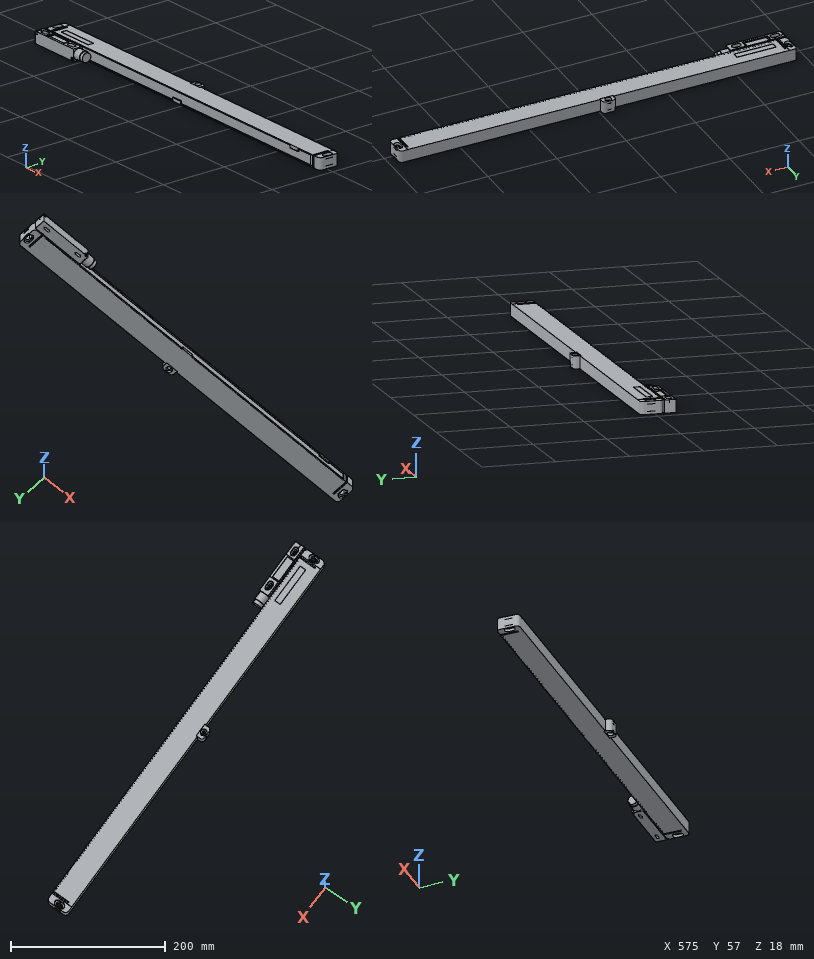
import cadquery as cq

length = 575.0
height = 18.0
total_depth = 57.0
mid_height = height / 2

housing_front = 16.5
housing_back = 48.5
end_radius = 5.0

cap_length = 11.5
cap_step = 0.1
groove_offset = 13.0
groove_width = 2.0
groove_depth = 0.5
groove_back = 41.5

lip_height = 1.45
face_inset = 19.0
face_depth = 2.0
pad_width = 17.0
pad_height = 5.0
lower_pad_x = 275.0
upper_pad_x = 521.0

end_hole_x = 5.0
end_pocket_length = 14.5
end_pocket_width = 8.5
end_pocket_depth = 4.0
end_hole_y = 33.5
keyhole_slot_width = 4.0
keyhole_slot_length = 9.0
keyhole_round_diameter = 6.0
keyhole_round_y = 31.5

label_start = 23.5
label_length = 56.5
label_width = 8.5
label_y = 29.0
label_depth = 0.3

tab_x = 275.5
tab_width = 19.0
tab_front = 46.5
tab_step = 0.1
tab_radius = 4.5
tab_hole_y = 52.0
tab_hole_diameter = 4.5
tab_bore_diameter = 8.5
tab_bore_depth = 4.0

head_length = 80.0
head_depth = 15.5
ledge_width = 2.0
ledge_depth = 0.3

panel_start = 21.0
panel_end = 57.5
panel_step = 2.0
panel_depth = 0.1
panel_pocket_depth = 2.0
panel_front = 3.5

head_slot_centers = (12.0, 68.0)
head_slot_y = 7.0
head_slot_length = 9.0
head_slot_width = 3.0
head_bore_length = 13.0
head_bore_width = 7.0
head_bore_depth = 6.0

upper_hole_x = 2.5
upper_hole_z = 15.5
upper_hole_diameter = 4.0
front_hole_depth = 8.5
lower_hole_x = 77.0
lower_hole_z = 3.0
lower_hole_diameter = 2.5
lower_bore_diameter = 4.5
lower_bore_depth = 2.0

connector_y = 8.35
collar_diameter = 15.5
collar_length = 12.0
sleeve_diameter = 14.0
sleeve_length = 5.0


def block(x0, x1, y0, y1, z0, z1):
    """Box between two opposite corners."""
    return cq.Workplane("XY").box(x1 - x0, y1 - y0, z1 - z0, centered=False).translate((x0, y0, z0))


def upright_slot(x, y, slot_length, width, z0, z1, angle=0):
    """Round-ended prism standing along Z; its long side follows X turned by the angle."""
    return cq.Workplane("XY", origin=(x, y, z0)).slot2D(slot_length, width, angle).extrude(z1 - z0)


def upright_cylinder(x, y, diameter, z0, z1):
    return cq.Workplane("XY", origin=(x, y, z0)).circle(diameter / 2).extrude(z1 - z0)


def front_hole(x, z, diameter, depth):
    """Cutter for a blind hole drilled into the front of the head."""
    return cq.Workplane("XZ", origin=(x, 0, z)).circle(diameter / 2).extrude(-depth)


def end_cutters():
    """Everything cut at the left end of the housing."""
    cap_step_cut = block(0, cap_length, housing_front, housing_back, height - cap_step, height)

    groove_end = groove_offset + groove_width
    groove = block(groove_offset, groove_end, housing_front, groove_back, 0, height)
    groove_core = block(groove_offset, groove_end, housing_front + groove_depth, groove_back,
                        groove_depth, height - groove_depth)

    keyhole = upright_slot(end_hole_x, end_hole_y, keyhole_slot_length, keyhole_slot_width, 0, height, 90)
    keyhole_round = upright_cylinder(end_hole_x, keyhole_round_y, keyhole_round_diameter, 0, height)
    pockets = [
        upright_slot(end_hole_x, end_hole_y, end_pocket_length, end_pocket_width, z0, z0 + end_pocket_depth, 90)
        for z0 in (0, height - end_pocket_depth)
    ]
    return [cap_step_cut, groove.cut(groove_core), keyhole, keyhole_round, *pockets]


def front_face_recess():
    """Cutter that sinks the front face between the lips but leaves the two pads standing."""
    face_back = housing_front + face_depth
    recess = block(face_inset, length - face_inset, housing_front, face_back, lip_height, height - lip_height)
    for pad_x, z0 in ((lower_pad_x, 0), (upper_pad_x, height - pad_height)):
        pad = block(pad_x - pad_width / 2, pad_x + pad_width / 2, housing_front, face_back, z0, z0 + pad_height)
        recess = recess.cut(pad)
    return recess


def tab():
    """Rounded mounting tab, a little thinner than the housing."""
    return (
        block(tab_x - tab_width / 2, tab_x + tab_width / 2, tab_front, total_depth, tab_step, height - tab_step)
        .edges("|Z and >Y")
        .fillet(tab_radius)
    )


def tab_cutters():
    """Through hole with a counterbore from above and from below."""
    hole = upright_cylinder(tab_x, tab_hole_y, tab_hole_diameter, 0, height)
    bores = [
        upright_cylinder(tab_x, tab_hole_y, tab_bore_diameter, z0, z0 + tab_bore_depth)
        for z0 in (tab_step, height - tab_step - tab_bore_depth)
    ]
    return [hole, *bores]


def make_housing():
    housing = block(0, length, housing_front, housing_back, 0, height).edges("|Z").fillet(end_radius)
    for cutter in end_cutters():
        mirrored_cutter = cutter.mirror("YZ", (length / 2, 0, 0))
        housing = housing.cut(cutter).cut(mirrored_cutter)
    housing = housing.cut(front_face_recess())

    label = block(label_start, label_start + label_length, label_y - label_width / 2, label_y + label_width / 2,
                  height - label_depth, height)
    housing = housing.cut(label)

    notch = block(tab_x - tab_width / 2, tab_x + tab_width / 2, tab_front, housing_back, 0, height)
    housing = housing.cut(notch).union(tab())
    for cutter in tab_cutters():
        housing = housing.cut(cutter)
    return housing


def panel_cutters():
    """Sunken panel across the head, and the deeper pocket behind its front strip."""
    floor = height - panel_depth
    sunken = block(panel_start, panel_end, 0, head_depth, floor, height)
    pocket = block(panel_start + panel_step, panel_end - panel_step, panel_front, head_depth - ledge_width,
                   floor - panel_pocket_depth, floor)
    return [sunken, pocket]


def head_slot_cutters():
    """Counterbored mounting slots through the head."""
    cutters = []
    for x in head_slot_centers:
        cutters.append(upright_slot(x, head_slot_y, head_slot_length, head_slot_width, 0, height))
        cutters.append(upright_slot(x, head_slot_y, head_bore_length, head_bore_width,
                                    height - head_bore_depth, height))
    return cutters


def connector():
    """Collar and narrower sleeve on the right end of the head."""
    start_face = cq.Workplane("YZ", origin=(head_length, connector_y, mid_height))
    collar = start_face.circle(collar_diameter / 2).extrude(collar_length)
    sleeve = start_face.circle(sleeve_diameter / 2).extrude(collar_length + sleeve_length)
    return collar.union(sleeve)


def make_reading_head():
    head = block(0, head_length, 0, head_depth, 0, height)
    ledge = block(0, head_length, head_depth - ledge_width, head_depth, height - ledge_depth, height)
    front_holes = [
        front_hole(upper_hole_x, upper_hole_z, upper_hole_diameter, front_hole_depth),
        front_hole(lower_hole_x, lower_hole_z, lower_hole_diameter, front_hole_depth),
        front_hole(lower_hole_x, lower_hole_z, lower_bore_diameter, lower_bore_depth),
    ]
    for cutter in [ledge, *panel_cutters(), *head_slot_cutters(), *front_holes]:
        head = head.cut(cutter)
    return head.union(connector())


housing = make_housing()
reading_head = make_reading_head()

result = cq.Compound.makeCompound([housing.val(), reading_head.val()])